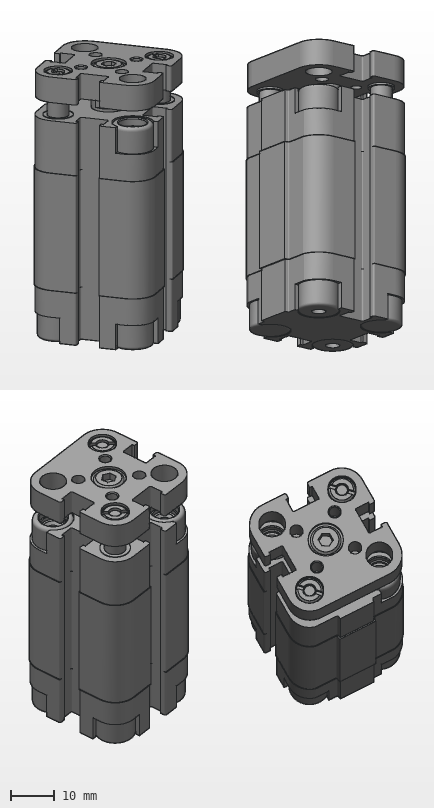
import cadquery as cq
import math

total_height = 63.5
plate_thickness = 6.1
stroke_gap = 4.3
cap_height = 12.5
plate_bottom = total_height - plate_thickness
housing_top = plate_bottom - stroke_gap

housing_width = 29.0
housing_half = housing_width / 2
cap_inset = 0.2
plate_half = 14.2
plate_corner_radius = 5.35
corner_offset = 9.0
back_face_drop = 0.1

rail_half_width = 4.65
rail_height = 0.95
rail_foot = 0.25
rail_taper = 0.2
cap_rail_inset = 0.3

slot_mouth_half = 2.7
slot_inner_half = 3.35
slot_lip_inner = 12.8
side_slot_floor = 9.4
front_slot_floor = 9.6
cap_lip_round = 0.45
cap_floor_round = 0.3
barrel_slot_round = 0.2

boss_radius = 4.75
relief_height = 6.1
relief_inner = 6.8
back_relief_inner = 6.65
relief_overrun = 0.65
top_boss_round = 0.9
bottom_boss_round = 0.65

mount_bore_diameter = 3.25
mount_sink_diameter = 4.6
mount_seat_diameter = 5.7
mount_seat_depth = 2.85
mount_entry_diameter = 6.5
mount_entry_depth = 1.9
mount_mouth_diameter = 7.0

piston_diameter = 8.0
piston_flat_half = 3.5
piston_collar_height = 0.7
piston_collar_top = housing_top + piston_collar_height
guide_diameter = 5.0
guide_recess_diameter = 7.0
guide_recess_depth = 0.1
guide_washer_diameter = 6.1
guide_washer_thickness = 0.45
rod_end_z = housing_top - cap_height

piston_end_diameter = 7.0
piston_end_face_diameter = 6.0
piston_end_drop = 0.1
hex_across_flats = 3.0
hex_depth = 1.9
guide_hole_diameter = 6.5
guide_end_diameter = 6.1
guide_end_face_diameter = 5.2
guide_end_drop = 0.2
driver_slot_width = 0.95
driver_slot_depth = 0.75
tip_diameter = 3.0
tip_face_diameter = 2.5
tip_drop = 0.45

plate_access_diameter = 6.1
plate_hole_radius = 7.0
plate_hole_offset = plate_hole_radius / math.sqrt(2)
plate_clear_diameter = 3.0
plate_thread_diameter = 2.5
plate_thread_mouth = 3.0

guide_spots = [(-corner_offset, -corner_offset), (corner_offset, corner_offset)]
mount_spots = [(-corner_offset, corner_offset), (corner_offset, -corner_offset)]
clear_spots = [(-plate_hole_offset, plate_hole_offset), (plate_hole_offset, -plate_hole_offset)]
thread_spots = [(-plate_hole_offset, -plate_hole_offset), (plate_hole_offset, plate_hole_offset)]


def cylinder(spots, diameter, bottom, top):
    """Upright cylinders of one diameter between two heights."""
    base = cq.Workplane("XY", origin=(0, 0, bottom)).pushPoints(spots)
    return base.circle(diameter / 2).extrude(top - bottom)


def cone(spot, lower_diameter, upper_diameter, bottom, top):
    """Upright cone frustum between two heights."""
    profile = [
        (0, bottom),
        (lower_diameter / 2, bottom),
        (upper_diameter / 2, top),
        (0, top),
    ]
    frustum = cq.Workplane("XZ").polyline(profile).close().revolve(360, (0, 0, 0), (0, 1, 0))
    return frustum.translate((spot[0], spot[1], 0))


def rounded_block(half, corner_radius, bottom, top):
    """Square block with rounded upright edges."""
    block = cq.Workplane("XY", origin=(0, 0, bottom)).rect(2 * half, 2 * half).extrude(top - bottom)
    return block.edges("|Z").fillet(corner_radius)


def front_slot(face, floor, lip_round, floor_round, bottom, top):
    """T-slot cutter for the -Y side, with rounded lips and floor corners."""
    slot = (
        cq.Workplane("XY", origin=(0, 0, bottom))
        .moveTo(-slot_inner_half, -floor)
        .lineTo(slot_inner_half, -floor)
        .lineTo(slot_inner_half, -slot_lip_inner)
        .lineTo(slot_mouth_half, -slot_lip_inner)
        .lineTo(slot_mouth_half, lip_round - face)
        .radiusArc((slot_mouth_half + lip_round, -face), -lip_round)
        .lineTo(-slot_mouth_half - lip_round, -face)
        .radiusArc((-slot_mouth_half, lip_round - face), -lip_round)
        .lineTo(-slot_mouth_half, -slot_lip_inner)
        .lineTo(-slot_inner_half, -slot_lip_inner)
        .close()
        .extrude(top - bottom)
    )
    return slot.edges("|Z and >Y").fillet(floor_round)


def cut_slots(block, face, front_floor, lip_round, floor_round, bottom, top):
    """Cut the T-slots of the -Y, -X and +X sides."""
    block = block.cut(front_slot(face, front_floor, lip_round, floor_round, bottom, top))
    side_slot = front_slot(face, side_slot_floor, lip_round, floor_round, bottom, top)
    for turn in (-90, 90):
        block = block.cut(side_slot.rotate((0, 0, 0), (0, 0, 1), turn))
    return block


def housing_section(inset, rail_inset, lip_round, floor_round, bottom, top):
    """One length of the housing: slotted block with a flat back and a rail."""
    half = housing_half - inset
    block = rounded_block(half, half - corner_offset, bottom, top)
    back = half - back_face_drop
    trim = cq.Workplane("XY").box(2 * half, half, top - bottom, centered=(True, False, False))
    block = block.cut(trim.translate((0, back, bottom)))
    block = cut_slots(block, half, front_slot_floor, lip_round, floor_round, bottom, top)
    rail_half = rail_half_width + rail_taper - rail_inset
    rail_top_half = rail_half - rail_taper
    rail_top = housing_half + rail_height - rail_inset
    rail = (
        cq.Workplane("XY", origin=(0, 0, bottom))
        .moveTo(-rail_half - rail_foot, back - rail_foot)
        .lineTo(-rail_half - rail_foot, back)
        .radiusArc((-rail_half, back + rail_foot), -rail_foot)
        .lineTo(-rail_top_half, rail_top)
        .lineTo(rail_top_half, rail_top)
        .lineTo(rail_half, back + rail_foot)
        .radiusArc((rail_half + rail_foot, back), -rail_foot)
        .lineTo(rail_half + rail_foot, back - rail_foot)
        .close()
        .extrude(top - bottom)
    )
    return block.union(rail)


def corner_relief(spot, bottom, edge, edge_round):
    """Cutter that leaves a round boss with one rounded end edge in a corner."""
    side_x = math.copysign(1, spot[0])
    side_y = math.copysign(1, spot[1])
    inner_y = relief_inner if side_y < 0 else back_relief_inner
    size = housing_half - relief_inner + relief_overrun
    corner = (
        cq.Workplane("XY")
        .box(size, size, relief_height)
        .translate((
            side_x * (relief_inner + size / 2),
            side_y * (inner_y + size / 2),
            bottom + relief_height / 2,
        ))
    )
    post = cylinder([spot], 2 * boss_radius, bottom, bottom + relief_height)
    rounded_post = post.edges(edge).fillet(edge_round)
    return corner.cut(post).union(post.cut(rounded_post))


def mounting_hole(spot):
    """Stepped screw hole, countersunk at its seat and through the housing."""
    seat_z = housing_top - mount_seat_depth
    sink_depth = (mount_sink_diameter - mount_bore_diameter) / 2
    mouth_depth = (mount_mouth_diameter - mount_entry_diameter) / 2
    hole = cylinder([spot], mount_bore_diameter, 0, housing_top)
    hole = hole.union(cone(spot, mount_bore_diameter, mount_sink_diameter, seat_z - sink_depth, seat_z))
    hole = hole.union(cylinder([spot], mount_seat_diameter, seat_z, housing_top))
    hole = hole.union(cylinder([spot], mount_entry_diameter, housing_top - mount_entry_depth, housing_top))
    mouth = cone(spot, mount_entry_diameter, mount_mouth_diameter, housing_top - mouth_depth, housing_top)
    return hole.union(mouth)


def make_housing():
    """Slotted barrel between two end caps, bored for the rods."""
    barrel_top = housing_top - cap_height
    body = housing_section(0, 0, barrel_slot_round, barrel_slot_round, cap_height, barrel_top)
    for bottom, top in [(0, cap_height), (barrel_top, housing_top)]:
        cap = housing_section(cap_inset, cap_rail_inset, cap_lip_round, cap_floor_round, bottom, top)
        body = body.union(cap)
    for spot in mount_spots:
        body = body.cut(corner_relief(spot, housing_top - relief_height, ">Z", top_boss_round))
    for spot in mount_spots + guide_spots:
        body = body.cut(corner_relief(spot, 0, "<Z", bottom_boss_round))
    for spot in mount_spots:
        body = body.cut(mounting_hole(spot))
    body = body.cut(cylinder([(0, 0)], piston_diameter, rod_end_z, housing_top))
    recess_floor = housing_top - guide_recess_depth
    body = body.cut(cylinder(guide_spots, guide_recess_diameter, recess_floor, housing_top))
    return body.cut(cylinder(guide_spots, guide_diameter, rod_end_z, housing_top))


def piston_rod():
    """Centre rod with two wrench flats above a full round collar."""
    rod = cylinder([(0, 0)], piston_diameter, rod_end_z, plate_bottom)
    flat_length = plate_bottom - piston_collar_top
    for side in (-1, 1):
        flat = cq.Workplane("XY").box(piston_diameter, piston_diameter, flat_length)
        flat_y = side * (piston_flat_half + piston_diameter / 2)
        rod = rod.cut(flat.translate((0, flat_y, piston_collar_top + flat_length / 2)))
    return rod


def end_ring(spot, hole_diameter, end_diameter, face_diameter, drop):
    """Cutter that leaves a chamfered rod end just below the plate top."""
    face_z = total_height - drop
    floor_z = face_z - (end_diameter - face_diameter) / 2
    ring = cylinder([spot], hole_diameter, floor_z, total_height)
    return ring.cut(cone(spot, end_diameter, face_diameter, floor_z, face_z))


def guide_end(spot):
    """Cutter for a guide rod end: chamfered rim, driver slot and screw tip."""
    face_z = total_height - guide_end_drop
    slot = (
        cq.Workplane("XY")
        .box(guide_end_diameter, driver_slot_width, driver_slot_depth)
        .rotate((0, 0, 0), (0, 0, 1), -45)
        .translate((spot[0], spot[1], face_z - driver_slot_depth / 2))
    )
    slot_floor = face_z - driver_slot_depth
    tip_z = face_z - tip_drop
    tip_floor = tip_z - (tip_diameter - tip_face_diameter) / 2
    tip = cylinder([spot], tip_diameter, slot_floor, tip_floor)
    tip = tip.union(cone(spot, tip_diameter, tip_face_diameter, tip_floor, tip_z))
    pocket = cylinder([spot], tip_diameter, slot_floor, face_z).union(slot).cut(tip)
    rim = end_ring(spot, guide_hole_diameter, guide_end_diameter, guide_end_face_diameter, guide_end_drop)
    return pocket.union(rim)


def make_yoke():
    """Yoke plate carrying the piston rod and the two guide rods."""
    yoke = rounded_block(plate_half, plate_corner_radius, plate_bottom, total_height)
    yoke = cut_slots(
        yoke,
        plate_half,
        side_slot_floor,
        cap_lip_round,
        cap_floor_round,
        plate_bottom,
        total_height,
    )
    yoke = yoke.cut(cylinder(mount_spots, plate_access_diameter, plate_bottom, total_height))
    yoke = yoke.cut(cylinder(clear_spots, plate_clear_diameter, plate_bottom, total_height))
    yoke = yoke.cut(cylinder(thread_spots, plate_thread_diameter, plate_bottom, total_height))
    sink_z = total_height - (plate_thread_mouth - plate_thread_diameter) / 2
    for spot in thread_spots:
        yoke = yoke.cut(cone(spot, plate_thread_diameter, plate_thread_mouth, sink_z, total_height))

    yoke = yoke.union(piston_rod())
    washer_z = plate_bottom - guide_washer_thickness
    yoke = yoke.union(cylinder(guide_spots, guide_diameter, rod_end_z, plate_bottom))
    yoke = yoke.union(cylinder(guide_spots, guide_washer_diameter, washer_z, plate_bottom))

    yoke = yoke.cut(
        end_ring((0, 0), piston_diameter, piston_end_diameter, piston_end_face_diameter, piston_end_drop)
    )
    hexagon = cq.Workplane("XY").polygon(6, hex_across_flats, circumscribed=True).extrude(hex_depth)
    yoke = yoke.cut(hexagon.translate((0, 0, total_height - hex_depth)))
    for spot in guide_spots:
        yoke = yoke.cut(guide_end(spot))
    return yoke


housing = make_housing()
yoke = make_yoke()
result = cq.Compound.makeCompound([housing.solids().val(), yoke.solids().val()])